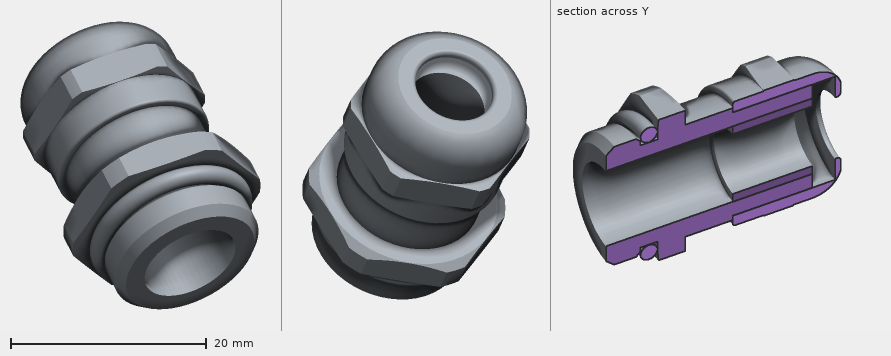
import cadquery as cq
import math


DOME_FACE_DIA = 12.0
DOME_LENGTH = 3.3
CAP_DIA = 16.8
CAP_END = 12.53
CAP_REAR_ROUND = 0.27
CAP_BORE_DIA = 13.87
LIP_DIA = 8.2
LIP_ROUND = 0.45
LIP_LENGTH = 0.7

CAP_HEX_START = 5.45
CAP_HEX_END = 9.0
CAP_HEX_FLATS = 16.97
CAP_HEX_CORNER_DIA = 18.9
CAP_HEX_FACE_DIA = 16.95
CAP_HEX_FRONT_BEVEL = 0.27
CAP_HEX_REAR_BEVEL = 0.2

NECK_START = 3.27
NECK_DIA = CAP_BORE_DIA
SEAL_POCKET_DIA = 10.1
BARREL_DIA = 15.2

BODY_HEX_START = 18.0
BODY_HEX_END = 21.25
BODY_HEX_FLATS = 19.0
BODY_HEX_CORNER_DIA = 20.78
BODY_HEX_FRONT_FACE_DIA = 18.9
BODY_HEX_REAR_FACE_DIA = 16.9
BODY_HEX_FRONT_BEVEL = 0.55
BODY_HEX_REAR_BEVEL = 0.2

GROOVE_DIA = 13.87
SPIGOT_DIA = 16.0
SPIGOT_FRONT_BEVEL = 0.5
SPIGOT_END_DIA = 14.25
SPIGOT_END_BEVEL = 0.98
BODY_END = 27.25

SEAL_BORE_DIA = 8.0
RING_SECTION_DIA = 2.0


def revolve_about_x(profile):
    """Turn a closed (x, radius) profile in the XY plane around the X axis."""
    return profile.close().revolve(360, (0, 0, 0), (1, 0, 0))


def cylinder(start, end, dia):
    """Solid cylinder along X."""
    return cq.Workplane("YZ", origin=(start, 0, 0)).circle(dia / 2).extrude(end - start)


def bevelled_hexagon(start, end, flats, corner_dia, front_dia, rear_dia, front_bevel, rear_bevel):
    """Hexagon with flats facing +Z and -Z, its corners turned round and both ends turned conical."""
    point_to_point = flats / math.cos(math.pi / 6)
    prism = cq.Workplane("YZ", origin=(start, 0, 0)).polygon(6, point_to_point).extrude(end - start)
    turned_blank = revolve_about_x(
        cq.Workplane("XY")
        .moveTo(start, 0)
        .lineTo(start, front_dia / 2)
        .lineTo(start + front_bevel, corner_dia / 2)
        .lineTo(end - rear_bevel, corner_dia / 2)
        .lineTo(end, rear_dia / 2)
        .lineTo(end, 0)
    )
    return prism.intersect(turned_blank)


def make_cap_nut():
    """Domed nut with a rounded lip around its opening and a plain bore behind the lip."""
    rise = (CAP_DIA - DOME_FACE_DIA) / 2
    dome_radius = (DOME_LENGTH**2 + rise**2) / (2 * rise)
    dome_centre_radius = CAP_DIA / 2 - dome_radius
    start_angle = math.atan2(DOME_FACE_DIA / 2 - dome_centre_radius, -DOME_LENGTH)
    mid_angle = (start_angle + math.pi / 2) / 2
    dome_middle = (
        DOME_LENGTH + dome_radius * math.cos(mid_angle),
        dome_centre_radius + dome_radius * math.sin(mid_angle),
    )

    shell = revolve_about_x(
        cq.Workplane("XY")
        .moveTo(0, LIP_DIA / 2 + LIP_ROUND)
        .lineTo(0, DOME_FACE_DIA / 2)
        .threePointArc(dome_middle, (DOME_LENGTH, CAP_DIA / 2))
        .lineTo(CAP_END - CAP_REAR_ROUND, CAP_DIA / 2)
        .radiusArc((CAP_END, CAP_DIA / 2 - CAP_REAR_ROUND), CAP_REAR_ROUND)
        .lineTo(CAP_END, CAP_BORE_DIA / 2)
        .lineTo(LIP_LENGTH, CAP_BORE_DIA / 2)
        .lineTo(LIP_LENGTH, LIP_DIA / 2)
        .lineTo(LIP_ROUND, LIP_DIA / 2)
        .radiusArc((0, LIP_DIA / 2 + LIP_ROUND), LIP_ROUND)
    )
    hexagon = bevelled_hexagon(
        CAP_HEX_START, CAP_HEX_END, CAP_HEX_FLATS, CAP_HEX_CORNER_DIA,
        CAP_HEX_FACE_DIA, CAP_HEX_FACE_DIA, CAP_HEX_FRONT_BEVEL, CAP_HEX_REAR_BEVEL,
    )
    return shell.union(hexagon.cut(cylinder(CAP_HEX_START, CAP_HEX_END, CAP_BORE_DIA)))


def make_gland_body():
    """Neck inside the cap nut, barrel, hexagon, O-ring groove and bevelled spigot, bored through."""
    groove_end = BODY_HEX_END + RING_SECTION_DIA
    bevel_start_radius = SPIGOT_DIA / 2 - SPIGOT_FRONT_BEVEL
    turned = revolve_about_x(
        cq.Workplane("XY")
        .moveTo(NECK_START, 0)
        .lineTo(NECK_START, NECK_DIA / 2)
        .lineTo(CAP_END, NECK_DIA / 2)
        .lineTo(CAP_END, BARREL_DIA / 2)
        .lineTo(BODY_HEX_END, BARREL_DIA / 2)
        .lineTo(BODY_HEX_END, GROOVE_DIA / 2)
        .lineTo(groove_end, GROOVE_DIA / 2)
        .lineTo(groove_end, bevel_start_radius)
        .lineTo(groove_end + SPIGOT_FRONT_BEVEL, SPIGOT_DIA / 2)
        .lineTo(BODY_END - SPIGOT_END_BEVEL, SPIGOT_DIA / 2)
        .lineTo(BODY_END, SPIGOT_END_DIA / 2)
        .lineTo(BODY_END, 0)
    )
    hexagon = bevelled_hexagon(
        BODY_HEX_START, BODY_HEX_END, BODY_HEX_FLATS, BODY_HEX_CORNER_DIA,
        BODY_HEX_FRONT_FACE_DIA, BODY_HEX_REAR_FACE_DIA, BODY_HEX_FRONT_BEVEL, BODY_HEX_REAR_BEVEL,
    )
    return turned.union(hexagon).cut(cylinder(NECK_START, BODY_END, SEAL_POCKET_DIA))


def make_seal():
    """Plain sleeve in the body bore, flush with the neck in front and level with the cap nut's end."""
    return cylinder(NECK_START, CAP_END, SEAL_POCKET_DIA).cut(cylinder(NECK_START, CAP_END, SEAL_BORE_DIA))


def make_o_ring():
    """Ring resting on the groove floor and between its two walls."""
    section_radius = RING_SECTION_DIA / 2
    section = (
        cq.Workplane("XY")
        .center(BODY_HEX_END + section_radius, GROOVE_DIA / 2 + section_radius)
        .circle(section_radius)
    )
    axis_offset = -(GROOVE_DIA / 2 + section_radius)
    return section.revolve(360, (0, axis_offset, 0), (1, axis_offset, 0))


cap_nut = make_cap_nut()
gland_body = make_gland_body()
seal = make_seal()
o_ring = make_o_ring()

result = cq.Compound.makeCompound([cap_nut.val(), gland_body.val(), seal.val(), o_ring.val()])